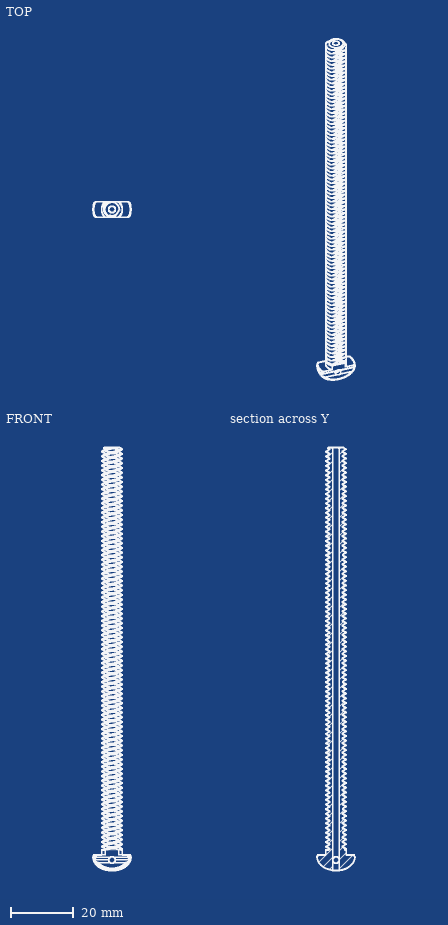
import cadquery as cq
import math

total_height = 135.0
flat_thickness = 5.0

pitch_count = 90
thread_pitch = total_height / pitch_count
thread_angle = 60.0
thread_depth = thread_pitch / 2 / math.tan(math.radians(thread_angle / 2))
root_radius = 2.0
crest_radius = root_radius + thread_depth
coil_bottom = 4.7
spare_turns = 2
coil_turns = math.ceil((total_height - coil_bottom) / thread_pitch) + spare_turns
seam_angle = 20.0
sewing_tolerance = 0.0001

tip_face_radius = 2.3
tip_cone_height = 0.7

head_radius = 6.1
rim_height = 4.3
flange_top = 5.0
flange_top_radius = 5.8
neck_radius = crest_radius
neck_top = 6.6
dome_chamfer = 0.4

bore_radius = 1.01
cross_hole_radius = 1.01
cross_hole_height = 3.4
groove_width = 1.6
groove_depth = 0.8

dome_height = rim_height / math.sqrt(1 - (bore_radius / head_radius) ** 2)

beyond = 1.3


def slab(bottom, top):
    """Block of the flat thickness, wider than the head."""
    width = 2 * (head_radius + beyond)
    block = cq.Workplane("XY").box(width, flat_thickness, top - bottom, centered=(True, True, False))
    return block.translate((0, 0, bottom))


def helix_turn(radius, bottom):
    """One turn of a helix about Z."""
    center = cq.Vector(0, 0, bottom)
    return cq.Wire.makeHelix(thread_pitch, thread_pitch, radius, center=center).Edges()[0]


def thread_coil():
    """Flattened thread without its bore, sewn from the faces of one turn repeated at every pitch.

    The coil is a helical sweep of a five-sided section between the axis and the crest. It begins
    and ends with a helicoid and a flat step in the plane where its turns start.
    """
    axis = cq.Edge.makeLine(cq.Vector(0, 0, 0), cq.Vector(0, 0, thread_pitch))
    outline = [
        axis,
        helix_turn(root_radius, 0),
        helix_turn(crest_radius, thread_pitch / 2),
        helix_turn(root_radius, thread_pitch),
        axis.translate(cq.Vector(0, 0, thread_pitch)),
    ]
    floor, lower_flank, upper_flank, ceiling = [
        cq.Face.makeRuledSurface(inner, outer) for inner, outer in zip(outline, outline[1:])
    ]
    start_step, end_step = [
        cq.Face.makeFromWires(cq.Wire.makePolygon(corners, close=True))
        for corners in ([e.startPoint() for e in outline], [e.endPoint() for e in outline])
    ]
    turn = cq.Solid.makeSolid(
        cq.Shell.makeShell([floor, lower_flank, upper_flank, ceiling, start_step, end_step])
    )

    cutter = slab(-beyond, total_height).rotate((0, 0, 0), (0, 0, 1), -seam_angle).val()
    seam = math.radians(seam_angle)
    across_flats = cq.selectors.ParallelDirSelector(cq.Vector(math.sin(seam), math.cos(seam), 0))
    turn_faces = cq.Workplane(turn.intersect(cutter)).faces(across_flats).vals()
    for flank in (lower_flank, upper_flank):
        turn_faces += flank.intersect(cutter).Faces()

    skin = [floor, start_step]
    for index in range(coil_turns):
        rise = cq.Vector(0, 0, index * thread_pitch)
        skin += [face.translate(rise) for face in turn_faces]
    last_rise = cq.Vector(0, 0, (coil_turns - 1) * thread_pitch)
    skin += [ceiling.translate(last_rise), end_step.translate(last_rise)]

    coil = cq.Solid.makeSolid(cq.occ_impl.shapes.shell(skin, tol=sewing_tolerance))
    return cq.Workplane(coil).rotate((0, 0, 0), (0, 0, 1), seam_angle).translate((0, 0, coil_bottom))


def rod_envelope():
    """Round space above the neck, ending in the tip cone."""
    wide = crest_radius + beyond
    cone_drop_per_radius = tip_cone_height / (crest_radius - tip_face_radius)
    return (
        cq.Workplane("XZ")
        .moveTo(0, neck_top)
        .lineTo(wide, neck_top)
        .lineTo(wide, total_height - (wide - tip_face_radius) * cone_drop_per_radius)
        .lineTo(tip_face_radius, total_height)
        .lineTo(0, total_height)
        .close()
        .revolve(360, (0, 0, 0), (0, 1, 0))
    )


def head_blank():
    """Elliptical dome, sloped flange and neck, turned about Z, flattened and chamfered."""
    turned = (
        cq.Workplane("XZ")
        .moveTo(0, rim_height - dome_height)
        .ellipseArc(head_radius, dome_height, -90, 0, startAtCurrent=True)
        .lineTo(flange_top_radius, flange_top)
        .lineTo(neck_radius, flange_top)
        .lineTo(neck_radius, neck_top)
        .lineTo(0, neck_top)
        .close()
        .revolve(360, (0, 0, 0), (0, 1, 0))
    )
    blank = turned.intersect(slab(-beyond, neck_top))
    for flat in ("<Y", ">Y"):
        blank = blank.faces(flat).edges("<Z").chamfer(dome_chamfer)
    return blank


def cord_groove(side):
    """V groove along X in the flat on the given side of the head."""
    face_y = side * flat_thickness / 2
    return (
        cq.Workplane("YZ")
        .moveTo(face_y, cross_hole_height - groove_width / 2)
        .lineTo(face_y - side * groove_depth, cross_hole_height)
        .lineTo(face_y, cross_hole_height + groove_width / 2)
        .close()
        .extrude(head_radius + beyond, both=True)
    )


def head():
    """Head with its cross hole and the cord grooves on both flats."""
    cross_hole = (
        cq.Workplane("XZ")
        .center(0, cross_hole_height)
        .circle(cross_hole_radius)
        .extrude(flat_thickness, both=True)
    )
    return head_blank().cut(cross_hole).cut(cord_groove(1)).cut(cord_groove(-1))


rod = thread_coil().intersect(rod_envelope(), clean=False)
bore = cq.Workplane("XY").circle(bore_radius).extrude(total_height + beyond, both=True)
result = rod.union(head(), clean=False).cut(bore, clean=False).solids()